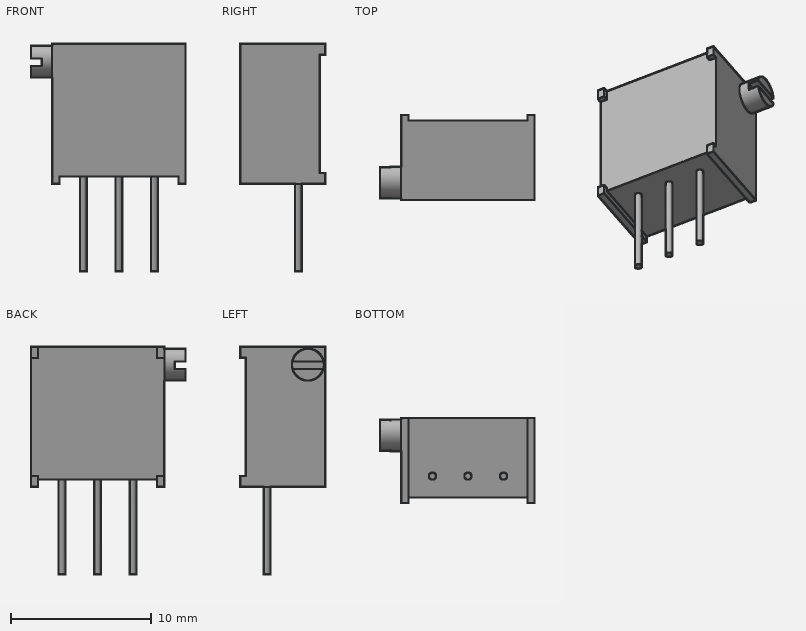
import cadquery as cq

body_length = 9.53
body_depth = 6.1
total_height = 16.26
foot_bottom = 6.25
body_height = total_height - foot_bottom

foot_width = 0.52
bottom_foot_height = 0.52
rear_foot_depth = 0.39
rear_foot_height = 0.8

screw_length = 11.05 - body_length
screw_diameter = 2.28
screw_y = 1.25
screw_z = total_height - 1.28
slot_width = 0.52
slot_depth = 0.76
slot_drop = 0.05

pin_diameter = 0.5
pin_pitch = 2.54
pin_y = 4.16
pin_embed = 0.16


def block(size_x, size_y, size_z, x, y, z):
    """Box centred on x, starting at y and z."""
    return cq.Workplane("XY").box(size_x, size_y, size_z, centered=(True, False, False)).translate((x, y, z))


def make_body():
    body = block(body_length, body_depth, body_height, 0, 0, foot_bottom)
    gap_length = body_length - 2 * foot_width
    body = body.cut(block(gap_length, body_depth, bottom_foot_height, 0, 0, foot_bottom))
    rear_y = body_depth - rear_foot_depth
    body = body.cut(block(gap_length, rear_foot_depth, body_height, 0, rear_y, foot_bottom))
    side_gap_height = body_height - 2 * rear_foot_height
    side_gap_z = foot_bottom + rear_foot_height
    return body.cut(block(body_length, rear_foot_depth, side_gap_height, 0, rear_y, side_gap_z))


def make_screw():
    body_side = -body_length / 2
    screw = (
        cq.Workplane("YZ", origin=(body_side, screw_y, screw_z))
        .circle(screw_diameter / 2)
        .extrude(-screw_length)
    )
    slot_x = body_side - screw_length + slot_depth / 2
    slot_y = screw_y - screw_diameter / 2
    slot_z = screw_z - slot_drop - slot_width / 2
    return screw.cut(block(slot_depth, screw_diameter, slot_width, slot_x, slot_y, slot_z))


def make_pins():
    pin_top = foot_bottom + bottom_foot_height + pin_embed
    pin_centres = [(i * pin_pitch, pin_y) for i in (-1, 0, 1)]
    return cq.Workplane("XY").pushPoints(pin_centres).circle(pin_diameter / 2).extrude(pin_top)


result = make_body().union(make_screw()).union(make_pins())